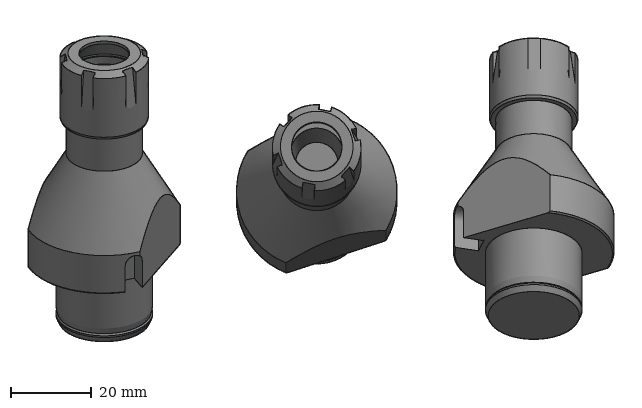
import cadquery as cq

TOTAL_HEIGHT = 75.3
FLANGE_BOTTOM_Z = 18.1
CONE_BOTTOM_Z = 29.0
CONE_TOP_Z = 47.1
NUT_BOTTOM_Z = 56.8

SHANK_RADIUS = 24.0 / 2
SHANK_TIP_RADIUS = 11.3
SHANK_CHAMFER_HEIGHT = 1.6
GROOVE_RADIUS = 11.7
GROOVE_BOTTOM_Z = 2.0
GROOVE_DEEPEST_Z = 2.5
GROOVE_TOP_Z = 4.1
FLANGE_RADIUS = 39.8 / 2
FLANGE_CHAMFER = 0.4
FLAT_SPACING = 30.0
NECK_RADIUS = 19.0 / 2
NOSE_RADIUS = 17.0 / 2
NOSE_TOP_Z = TOTAL_HEIGHT - 7.7
COLLET_BORE_TOP_RADIUS = 6.55
COLLET_BORE_BOTTOM_RADIUS = 10.5 / 2
COLLET_BORE_DEPTH = 9.4
COLLET_BORE_BOTTOM_Z = NOSE_TOP_Z - COLLET_BORE_DEPTH

KEYWAY_WIDTH = 5.0
KEYWAY_TOP_Z = 28.15
KEYWAY_FLOOR_RADIUS = 13.55
KEYWAY_ANGLE = -45.0

NUT_RADIUS = 22.0 / 2
NUT_FACE_RADIUS = 18.0 / 2
NUT_TOP_CHAMFER_HEIGHT = 1.2
NUT_BOTTOM_CHAMFER_WIDTH = 0.3
NUT_BOTTOM_CHAMFER_HEIGHT = 0.7
MOUTH_RADIUS = 12.5 / 2
MOUTH_DEPTH = 0.75
RECESS_RADIUS = 17.8 / 2
FLARE_DEPTH = 5.05
RECESS_DEPTH = 5.6

SLOT_COUNT = 6
SLOT_WIDTH = 3.1
SLOT_TOP_FLOOR_RADIUS = 9.5
SLOT_RUNOUT_Z = 64.5
SLOT_FIRST_ANGLE = 90.0
SLOT_CUTTER_OVERHANG = 0.75


def revolve_profile(points):
    """Revolve a closed (radius, height) outline about the Z axis."""
    return cq.Workplane("XZ").polyline(points).close().revolve(360, (0, 0, 0), (0, 1, 0))


def make_keyway_cutter():
    """Radial slot cutter, open at the flange underside and round at the top."""
    half_width = KEYWAY_WIDTH / 2
    spring_z = KEYWAY_TOP_Z - half_width
    cutter = (
        cq.Workplane("YZ", origin=(KEYWAY_FLOOR_RADIUS, 0, 0))
        .moveTo(-half_width, FLANGE_BOTTOM_Z)
        .lineTo(half_width, FLANGE_BOTTOM_Z)
        .lineTo(half_width, spring_z)
        .threePointArc((0, KEYWAY_TOP_Z), (-half_width, spring_z))
        .close()
        .extrude(FLANGE_RADIUS)
    )
    return cutter.rotate((0, 0, 0), (0, 0, 1), KEYWAY_ANGLE)


def make_housing():
    """Turned body with a tapered blind collet bore, two flats and a keyway."""
    body = revolve_profile([
        (0, 0),
        (SHANK_TIP_RADIUS, 0),
        (SHANK_RADIUS, SHANK_CHAMFER_HEIGHT),
        (SHANK_RADIUS, GROOVE_BOTTOM_Z),
        (GROOVE_RADIUS, GROOVE_DEEPEST_Z),
        (SHANK_RADIUS, GROOVE_TOP_Z),
        (SHANK_RADIUS, FLANGE_BOTTOM_Z),
        (FLANGE_RADIUS - FLANGE_CHAMFER, FLANGE_BOTTOM_Z),
        (FLANGE_RADIUS, FLANGE_BOTTOM_Z + FLANGE_CHAMFER),
        (FLANGE_RADIUS, CONE_BOTTOM_Z),
        (NECK_RADIUS, CONE_TOP_Z),
        (NECK_RADIUS, NUT_BOTTOM_Z),
        (NOSE_RADIUS, NUT_BOTTOM_Z),
        (NOSE_RADIUS, NOSE_TOP_Z),
        (COLLET_BORE_TOP_RADIUS, NOSE_TOP_Z),
        (COLLET_BORE_BOTTOM_RADIUS, COLLET_BORE_BOTTOM_Z),
        (0, COLLET_BORE_BOTTOM_Z),
    ])
    between_flats = cq.Workplane("XY").box(
        FLAT_SPACING, 2 * FLANGE_RADIUS, TOTAL_HEIGHT, centered=(True, True, False)
    )
    return body.intersect(between_flats).cut(make_keyway_cutter())


def make_slot_cutter():
    """Wedge that is deepest at the nut face and vanishes at the runout height."""
    floor_slope = (NUT_RADIUS - SLOT_TOP_FLOOR_RADIUS) / (TOTAL_HEIGHT - SLOT_RUNOUT_Z)
    outer_radius = NUT_RADIUS + SLOT_CUTTER_OVERHANG
    outer_z = SLOT_RUNOUT_Z - SLOT_CUTTER_OVERHANG / floor_slope
    return (
        cq.Workplane("XZ")
        .polyline([
            (SLOT_TOP_FLOOR_RADIUS, TOTAL_HEIGHT),
            (outer_radius, TOTAL_HEIGHT),
            (outer_radius, outer_z),
        ])
        .close()
        .extrude(SLOT_WIDTH / 2, both=True)
    )


def make_nut():
    """Clamping nut seated on the neck shoulder around the nose."""
    nut = revolve_profile([
        (NOSE_RADIUS, NUT_BOTTOM_Z),
        (NUT_RADIUS - NUT_BOTTOM_CHAMFER_WIDTH, NUT_BOTTOM_Z),
        (NUT_RADIUS, NUT_BOTTOM_Z + NUT_BOTTOM_CHAMFER_HEIGHT),
        (NUT_RADIUS, TOTAL_HEIGHT - NUT_TOP_CHAMFER_HEIGHT),
        (NUT_FACE_RADIUS, TOTAL_HEIGHT),
        (MOUTH_RADIUS, TOTAL_HEIGHT),
        (MOUTH_RADIUS, TOTAL_HEIGHT - MOUTH_DEPTH),
        (RECESS_RADIUS, TOTAL_HEIGHT - FLARE_DEPTH),
        (RECESS_RADIUS, TOTAL_HEIGHT - RECESS_DEPTH),
        (NOSE_RADIUS, TOTAL_HEIGHT - RECESS_DEPTH),
    ])
    slot_cutter = make_slot_cutter()
    for index in range(SLOT_COUNT):
        angle = SLOT_FIRST_ANGLE + index * 360 / SLOT_COUNT
        nut = nut.cut(slot_cutter.rotate((0, 0, 0), (0, 0, 1), angle))
    return nut


housing = make_housing()
nut = make_nut()

result = cq.Compound.makeCompound([*housing.solids().vals(), *nut.solids().vals()])